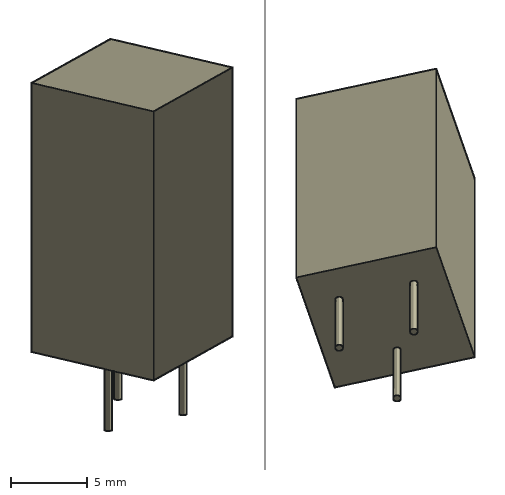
import cadquery as cq

housing_side = 9.53
total_height = 24.0
lead_length = 5.08
housing_height = total_height - lead_length

lead_diameter = 0.51
lead_pitch = 2.54
row_spacing = 2 * lead_pitch
front_row_inset = 1.905
front_row_y = front_row_inset - housing_side / 2
back_row_y = front_row_y + row_spacing
lead_positions = [
    (-lead_pitch, back_row_y),
    (0, front_row_y),
    (lead_pitch, back_row_y),
]


def make_housing():
    """Block with its underside on Z = 0."""
    return cq.Workplane("XY").box(
        housing_side, housing_side, housing_height, centered=(True, True, False)
    )


def make_lead(x, y):
    """Straight round lead hanging from the underside of the housing."""
    return cq.Workplane("XY").center(x, y).circle(lead_diameter / 2).extrude(-lead_length)


housing = make_housing()
leads = [make_lead(x, y) for x, y in lead_positions]

result = cq.Compound.makeCompound([housing.val(), *[lead.val() for lead in leads]])